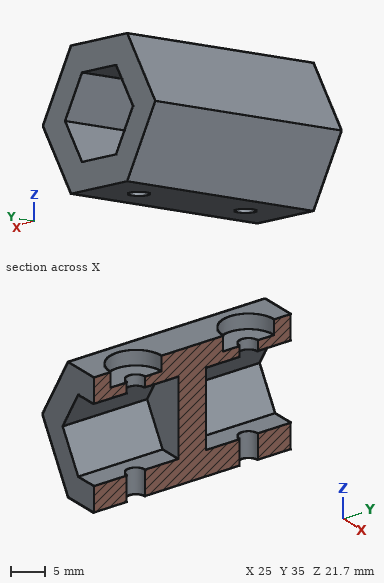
import cadquery as cq
import math

length = 35.0
outer_corners = 25.0
socket_corners = 15.1
middle_wall = 5.0
socket_depth = (length - middle_wall) / 2

hole_diameter = 3.2
counterbore_diameter = 9.0
counterbore_depth = 2.5
hole_end_distance = 7.5

top_z = outer_corners / 2 * math.cos(math.pi / 6)
hole_y = length / 2 - hole_end_distance


def hexagonal_bar(corners, start_y, bar_length):
    """Hexagonal bar running toward +Y from start_y."""
    return (
        cq.Workplane("XZ", origin=(0, start_y, 0))
        .polygon(6, corners)
        .extrude(-bar_length)
    )


body = hexagonal_bar(outer_corners, -length / 2, length)

for start_y in (-length / 2, length / 2 - socket_depth):
    body = body.cut(hexagonal_bar(socket_corners, start_y, socket_depth))

result = (
    body.copyWorkplane(cq.Workplane("XY", origin=(0, 0, top_z)))
    .pushPoints([(0, -hole_y), (0, hole_y)])
    .cboreHole(hole_diameter, counterbore_diameter, counterbore_depth)
)